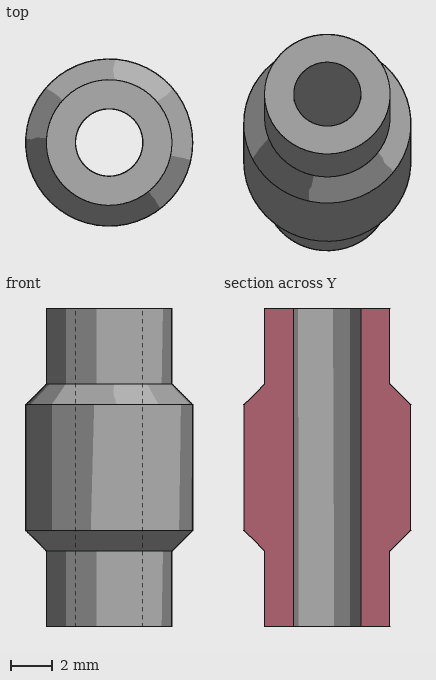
import cadquery as cq

total_length = 15.2
body_diameter = 8.0
neck_diameter = 6.0
bore_diameter = 3.2
body_length = 6.0

body_radius = body_diameter / 2
neck_radius = neck_diameter / 2
bore_radius = bore_diameter / 2
shoulder_height = body_radius - neck_radius

end_z = total_length / 2
body_end_z = body_length / 2
shoulder_end_z = body_end_z + shoulder_height

half_section = (
    cq.Workplane("XZ")
    .moveTo(bore_radius, -end_z)
    .lineTo(neck_radius, -end_z)
    .lineTo(neck_radius, -shoulder_end_z)
    .lineTo(body_radius, -body_end_z)
    .lineTo(body_radius, body_end_z)
    .lineTo(neck_radius, shoulder_end_z)
    .lineTo(neck_radius, end_z)
    .lineTo(bore_radius, end_z)
    .close()
)

result = half_section.revolve(360, (0, 0, 0), (0, 1, 0))